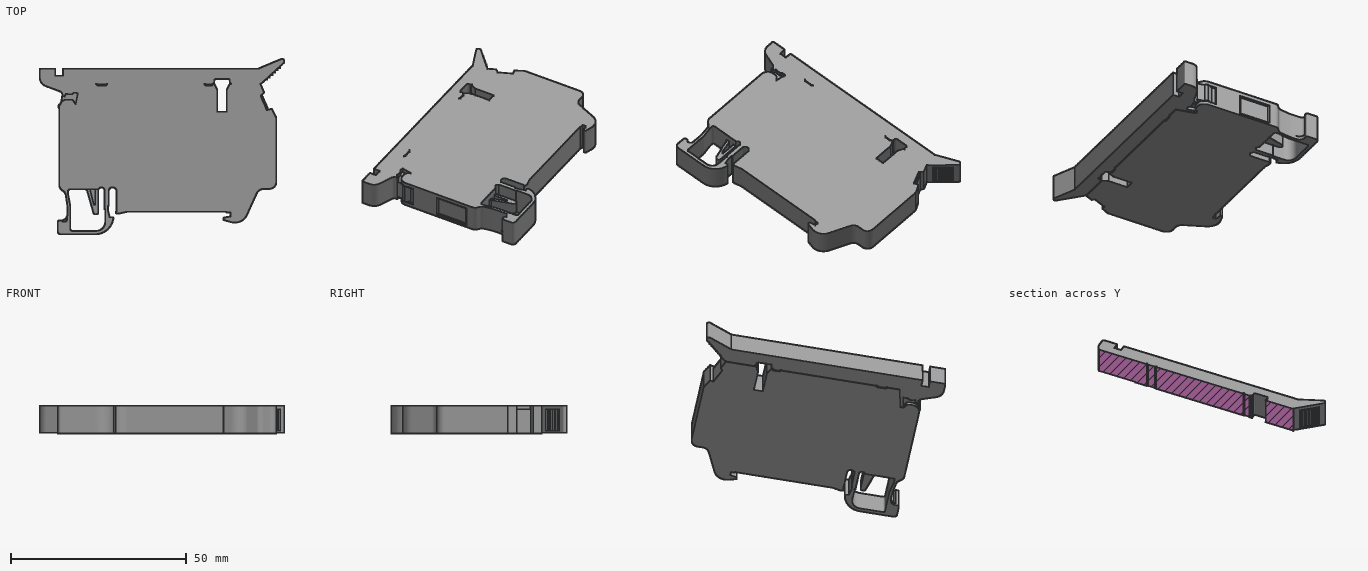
import math

import cadquery as cq


LENGTH = 69.59
HEIGHT = 49.92
THICKNESS = 7.95

BODY_LEFT = 5.55
BODY_RIGHT = 67.33
BODY_TOP = 42.8
SHOULDER_Y = 12.9
RAIL_Y = 6.4
SHOULDER_RADIUS = 2.1
HOOK_RADIUS = 3.85
HINGE_CORNER_RADIUS = 2.3
SMALL_RADIUS = 0.3

FOOT_LEFT = 5.12
WEB_LEFT = 7.9
WEB_RIGHT = 8.76
WINDOW_TOP = 12.8
FOOT_WALL = 1.05
FOOT_CORNER_RADIUS = 1.0
FOOT_LEDGE_RADIUS = 0.5
FOOT_NOTCH_RADIUS = 0.9
FOOT_ARC_RADIUS = 5.3
WEB_SHOULDER_RADIUS = 1.85
WEB_BEND_RADIUS = 12.0
WINDOW_RADIUS = 0.5
WINDOW_ARC_RADIUS = 2.5
ARM_LEFT = 18.4
ARM_RIGHT = 19.7
SLOT_RIGHT = 21.83
SLOT_TOP = 13.35
SLOT_RADIUS = 1.0
SLOT_SPRING_Y = 12.5
FOOT_LEDGE_Y = 4.0
GUSSET_RADIUS = 1.75
GUSSET_HEIGHT = 1.1

TONGUE_RIGHT = 16.75
TONGUE_TIP_Y = 5.7
TONGUE_TIP_RADIUS = 0.6
TONGUE_BOTTOM = 2.2
TONGUE_TOP = THICKNESS - TONGUE_BOTTOM
TONGUE_FLOOR = 1.0

LEVER_BOTTOM_Z = 0.2
LEVER_TOP = 47.1
NOTCH_LEFT = 4.5
NOTCH_WIDTH = 2.14
NOTCH_DEPTH = 1.95
TIP_RADIUS = 0.7
HANDLE_START = 62.0
HANDLE_FOOT = (63.2, 43.0)
LEVER_HEEL_X = 62.8
HEEL_RADIUS = 2.75
NECK_RADIUS = 1.0
LEG_BOTTOM = 37.0
LEG_LEFT = 10.26
LEG_RIGHT = 11.15
LEG_ROOT = 12.5
DETENT_DEPTH = 0.4
DETENT_SLOPE = 0.4
DETENT_CLEARANCE = 0.15
DETENT_SPANS = ((16.0, 19.3), (46.8, 49.4))

RIB_COUNT = 6
RIB_SIZE = 0.62
RIB_FIRST = (64.75, 43.9)
RIB_LAST = (68.42, 47.3)
RIB_BOTTOM = 0.86
RIB_TOP = 6.9

TAIL_BOTTOM = 1.25
TAIL_TOP = 6.7
TAIL_TIP_X = 5.35
TAIL_TIP_RADIUS = 0.6
TAIL_RAMP_Y = 34.6
TAIL_POCKET_Y = 33.5
TAIL_POCKET_TOP_Y = 39.0
TAIL_POCKET_BOTTOM = 1.1
TAIL_POCKET_DEPTH = 0.6

KEY_LEFT = 50.55
KEY_RIGHT = 53.14
KEY_BOTTOM = 34.93
KEY_TAPER_Y = 41.1
KEY_HEAD_LEFT = 49.7
KEY_HEAD_RIGHT = 54.04
KEY_HEAD_TOP = 44.14
KEY_HEAD_RADIUS = 0.4
KEY_LIP = 0.4

LABEL_Y = (15.9, 25.7)
LABEL_Z = (0.68, 6.65)
LABEL_DEPTH = 0.45
LABEL_TAPER_Z = 0.25

SEAT_TOP = (63.2, 39.65)
SEAT_BOTTOM = (65.0, 35.5)
SEAT_STEP_WIDTH = 0.45
SEAT_STEP_DEPTH = 1.0


def prism(corners, z_bottom, z_top):
    """Extrude a closed outline; a corner (x, y, r) is rounded with radius r."""
    path = None
    count = len(corners)
    for index, corner in enumerate(corners):
        point = cq.Vector(corner[0], corner[1])
        stops = [point]
        if len(corner) == 3:
            before = corners[index - 1]
            after = corners[(index + 1) % count]
            to_before = (cq.Vector(before[0], before[1]) - point).normalized()
            to_after = (cq.Vector(after[0], after[1]) - point).normalized()
            half_angle = to_before.getAngle(to_after) / 2
            radius = corner[2]
            setback = radius / math.tan(half_angle)
            inward = (to_before + to_after).normalized()
            crown = point + inward * (radius / math.sin(half_angle) - radius)
            stops = [point + to_before * setback, crown, point + to_after * setback]
        if path is None:
            path = cq.Workplane("XY").workplane(offset=z_bottom).moveTo(stops[0].x, stops[0].y)
        else:
            path = path.lineTo(stops[0].x, stops[0].y)
        if len(stops) == 3:
            path = path.threePointArc((stops[1].x, stops[1].y), (stops[2].x, stops[2].y))
    return path.close().extrude(z_top - z_bottom)


def detents(clearance):
    """Corners, right to left, of the shallow trapezoids dipping below the seam."""
    floor = BODY_TOP - DETENT_DEPTH + clearance
    corners = []
    for left, right in reversed(DETENT_SPANS):
        inner_left = left + clearance
        inner_right = right - clearance
        corners += [
            (inner_right, BODY_TOP),
            (inner_right - DETENT_SLOPE, floor),
            (inner_left + DETENT_SLOPE, floor),
            (inner_left, BODY_TOP),
        ]
    return corners


def housing():
    spring_foot = [
        (BODY_LEFT, 13.1, WEB_SHOULDER_RADIUS),
        (7.3, 11.95, WEB_SHOULDER_RADIUS),
        (WEB_LEFT, 8.05, WEB_BEND_RADIUS),
        (WEB_LEFT, 3.55, FOOT_NOTCH_RADIUS),
        (6.7, 3.55),
        (6.2, FOOT_LEDGE_Y),
        (FOOT_LEFT, FOOT_LEDGE_Y, FOOT_LEDGE_RADIUS),
        (FOOT_LEFT, 0, FOOT_CORNER_RADIUS),
        (20.0, 0, FOOT_ARC_RADIUS),
        (21.1, 4.9, SMALL_RADIUS),
        (19.95, 4.9),
        (19.5, 6.8),
        (19.5, 8.0),
        (ARM_RIGHT, 8.3),
    ]
    flex_slot = [
        (ARM_RIGHT, SLOT_TOP, SLOT_RADIUS),
        (SLOT_RIGHT, SLOT_TOP, SLOT_RADIUS),
        (SLOT_RIGHT, 6.6),
        (21.65, 6.4),
        (21.65, 5.95, SMALL_RADIUS),
        (22.75, 5.95),
        (24.75, RAIL_Y),
    ]
    rail_hook = [
        (53.0, RAIL_Y),
        (53.2, 6.2),
        (54.2, 6.2),
        (54.2, 5.15),
        (52.3, 4.8),
        (52.15, 4.14, SMALL_RADIUS),
        (57.6, 2.55, HOOK_RADIUS),
        (62.3, SHOULDER_Y, SHOULDER_RADIUS),
        (BODY_RIGHT, SHOULDER_Y, SHOULDER_RADIUS),
    ]
    right_edge = [
        (BODY_RIGHT, 33.15),
        (65.97, 35.75),
        SEAT_BOTTOM,
        SEAT_TOP,
        (63.83, 40.4),
        (LEVER_HEEL_X, BODY_TOP),
    ]
    leg_seat = [
        (LEG_ROOT, BODY_TOP, SMALL_RADIUS),
        (LEG_RIGHT, LEG_BOTTOM),
        (LEG_LEFT, LEG_BOTTOM),
        (9.4, 38.35, NECK_RADIUS),
        (BODY_LEFT, 38.35, HINGE_CORNER_RADIUS),
    ]
    outline = spring_foot + flex_slot + rail_hook + right_edge + detents(0) + leg_seat
    return prism(outline, 0, THICKNESS)


def foot_window():
    """Through window of the spring foot, with a rounded relief beside the arm."""
    corners = [
        (8.1, WINDOW_TOP, WINDOW_RADIUS),
        (8.1, 11.6),
        (WEB_RIGHT, 8.1),
        (WEB_RIGHT, FOOT_WALL, WINDOW_RADIUS),
        (18.62, FOOT_WALL, WINDOW_ARC_RADIUS),
        (18.62, 7.2),
        (ARM_LEFT, 7.2),
        (ARM_LEFT, WINDOW_TOP),
    ]
    relief_width = ARM_LEFT - TONGUE_RIGHT
    relief = (
        cq.Workplane("XY")
        .moveTo(TONGUE_RIGHT, SLOT_SPRING_Y)
        .threePointArc((TONGUE_RIGHT + relief_width / 2, SLOT_TOP), (ARM_LEFT, SLOT_SPRING_Y))
        .close()
        .extrude(THICKNESS)
    )
    return prism(corners, 0, THICKNESS).union(relief)


def tongue():
    """Hollow wedge hanging from the upper edge of the foot window."""
    wedge = [
        (13.15, WINDOW_TOP),
        (13.5, 12.4),
        (15.4, TONGUE_TIP_Y, TONGUE_TIP_RADIUS),
        (TONGUE_RIGHT, TONGUE_TIP_Y, TONGUE_TIP_RADIUS),
        (TONGUE_RIGHT, WINDOW_TOP),
    ]
    hollow = [
        (14.33, WINDOW_TOP),
        (15.4, 8.5),
        (15.85, 8.5),
        (15.85, WINDOW_TOP),
    ]
    solid_wedge = prism(wedge, TONGUE_BOTTOM, TONGUE_TOP)
    return solid_wedge.cut(prism(hollow, TONGUE_BOTTOM + TONGUE_FLOOR, TONGUE_TOP))


def foot_gusset():
    ledge_end = WEB_LEFT - GUSSET_RADIUS - SMALL_RADIUS
    web_inside = WEB_LEFT + SMALL_RADIUS
    corners = [
        (ledge_end, FOOT_LEDGE_Y - FOOT_WALL),
        (ledge_end, FOOT_LEDGE_Y),
        (WEB_LEFT, FOOT_LEDGE_Y, GUSSET_RADIUS),
        (WEB_LEFT, FOOT_LEDGE_Y + GUSSET_RADIUS + SMALL_RADIUS),
        (web_inside, FOOT_LEDGE_Y + GUSSET_RADIUS + SMALL_RADIUS),
        (web_inside, FOOT_LEDGE_Y - FOOT_WALL),
    ]
    return prism(corners, 0, GUSSET_HEIGHT)


def handle_apex():
    """Point where the handle's two flanks, both tangent to its round tip, would meet."""
    centre = cq.Vector(LENGTH - TIP_RADIUS, HEIGHT - TIP_RADIUS)
    upper = centre - cq.Vector(HANDLE_START, LEVER_TOP)
    lower = centre - cq.Vector(*HANDLE_FOOT)
    upper_angle = math.atan2(upper.y, upper.x) + math.asin(TIP_RADIUS / upper.Length)
    lower_angle = math.atan2(lower.y, lower.x) - math.asin(TIP_RADIUS / lower.Length)
    reach = TIP_RADIUS / math.sin((lower_angle - upper_angle) / 2)
    middle_angle = (upper_angle + lower_angle) / 2
    return centre.x + reach * math.cos(middle_angle), centre.y + reach * math.sin(middle_angle)


def lever():
    notch_right = NOTCH_LEFT + NOTCH_WIDTH
    notch_floor = LEVER_TOP - NOTCH_DEPTH
    top_edge = [
        (0, LEVER_TOP, SMALL_RADIUS),
        (NOTCH_LEFT, LEVER_TOP),
        (NOTCH_LEFT, notch_floor),
        (notch_right, notch_floor),
        (notch_right, LEVER_TOP),
        (HANDLE_START, LEVER_TOP),
    ]
    handle = [
        (*handle_apex(), TIP_RADIUS),
        HANDLE_FOOT,
        (LEVER_HEEL_X, BODY_TOP),
    ]
    leg = [
        (LEG_ROOT, BODY_TOP, SMALL_RADIUS),
        (LEG_RIGHT, LEG_BOTTOM),
        (LEG_LEFT, LEG_BOTTOM),
        (10.9, 40.15),
        (9.75, 40.3),
        (9.3, 39.85),
        (8.2, 39.85),
        (7.5, 40.0),
        (7.1, 39.2),
        (6.4, 39.3),
    ]
    heel = [
        (6.6, 40.33, NECK_RADIUS),
        (0, 42.78, HEEL_RADIUS),
    ]
    outline = top_edge + handle + detents(DETENT_CLEARANCE) + leg + heel
    return prism(outline, LEVER_BOTTOM_Z, THICKNESS)


def grip_ribs():
    ribs = cq.Workplane("XY")
    pitch_x = (RIB_LAST[0] - RIB_FIRST[0]) / (RIB_COUNT - 1)
    pitch_y = (RIB_LAST[1] - RIB_FIRST[1]) / (RIB_COUNT - 1)
    for index in range(RIB_COUNT):
        x = RIB_FIRST[0] + index * pitch_x
        y = RIB_FIRST[1] + index * pitch_y
        corners = [(x, y), (x, y + RIB_SIZE), (x - RIB_SIZE, y + RIB_SIZE), (x - RIB_SIZE, y)]
        ribs = ribs.union(prism(corners, RIB_BOTTOM, RIB_TOP))
    return ribs


def hinge_tail():
    """Narrow end of the lever, reaching into the pocket of the housing."""
    corners = [
        (6.6, 40.33),
        (6.0, 37.1),
        (TAIL_TIP_X, 36.95, TAIL_TIP_RADIUS),
        (TAIL_TIP_X, 36.2),
        (BODY_LEFT + TAIL_POCKET_DEPTH, TAIL_RAMP_Y),
        (LEG_RIGHT, TAIL_RAMP_Y),
        (LEG_RIGHT, 40.33),
    ]
    return prism(corners, TAIL_BOTTOM, TAIL_TOP)


def tail_pocket():
    pocket_right = BODY_LEFT + TAIL_POCKET_DEPTH
    corners = [
        (0, TAIL_POCKET_Y),
        (pocket_right, TAIL_POCKET_Y),
        (pocket_right, TAIL_POCKET_TOP_Y),
        (0, TAIL_POCKET_TOP_Y),
    ]
    return prism(corners, TAIL_POCKET_BOTTOM, TAIL_TOP)


def keyhole_slot():
    corners = [
        (KEY_LEFT, KEY_BOTTOM),
        (KEY_RIGHT, KEY_BOTTOM),
        (KEY_RIGHT, KEY_TAPER_Y),
        (KEY_HEAD_RIGHT, BODY_TOP),
        (KEY_HEAD_RIGHT + KEY_LIP, BODY_TOP),
        (KEY_HEAD_RIGHT, BODY_TOP + KEY_LIP),
        (KEY_HEAD_RIGHT, KEY_HEAD_TOP, KEY_HEAD_RADIUS),
        (KEY_HEAD_LEFT, KEY_HEAD_TOP, KEY_HEAD_RADIUS),
        (KEY_HEAD_LEFT, BODY_TOP + KEY_LIP),
        (KEY_HEAD_LEFT - KEY_LIP, BODY_TOP),
        (KEY_HEAD_LEFT, BODY_TOP),
        (KEY_LEFT, KEY_TAPER_Y),
    ]
    return prism(corners, 0, THICKNESS)


def label_recess():
    """Shallow recess whose walls slope in towards a smaller floor."""
    width = LABEL_Y[1] - LABEL_Y[0]
    height = LABEL_Z[1] - LABEL_Z[0]
    return (
        cq.Workplane("YZ", origin=(BODY_LEFT, sum(LABEL_Y) / 2, sum(LABEL_Z) / 2))
        .rect(width, height)
        .workplane(offset=LABEL_DEPTH)
        .rect(width - 2 * LABEL_DEPTH, height - 2 * LABEL_TAPER_Z)
        .loft(ruled=True)
    )


def seat_step():
    """Lowered strip along the marker seat, open to the upper face."""
    along = (cq.Vector(*SEAT_BOTTOM) - cq.Vector(*SEAT_TOP)).normalized()
    inward = cq.Vector(along.y, -along.x) * SEAT_STEP_WIDTH
    corners = [
        SEAT_TOP,
        SEAT_BOTTOM,
        (SEAT_BOTTOM[0] + inward.x, SEAT_BOTTOM[1] + inward.y),
        (SEAT_TOP[0] + inward.x, SEAT_TOP[1] + inward.y),
    ]
    return prism(corners, THICKNESS - SEAT_STEP_DEPTH, THICKNESS)


body = housing().cut(foot_window()).union(tongue()).union(foot_gusset())
body = body.cut(tail_pocket()).cut(label_recess()).cut(seat_step())

swing_lever = lever().union(grip_ribs()).union(hinge_tail())

result = body.union(swing_lever, clean=False).cut(keyhole_slot(), clean=False)